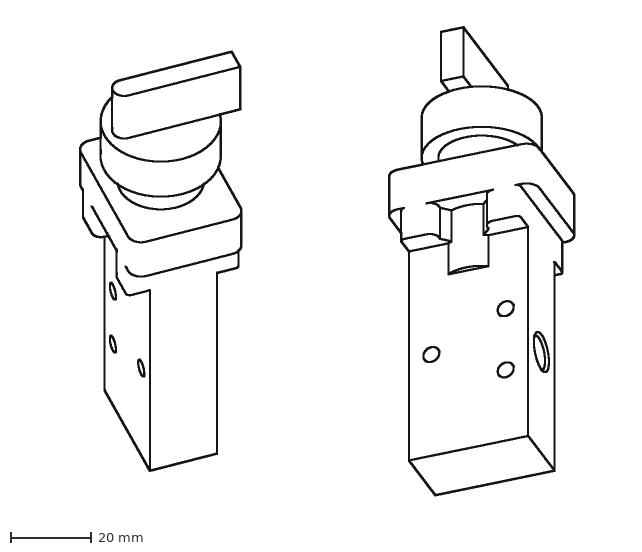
import cadquery as cq
import math

body_top = 61.0
cylinder_bottom = 52.0
clamp_top = 70.0
plate_top = 81.7
neck_top = 89.8
knob_top = 101.6
handle_top = 116.0

body_width = 32.0
body_depth = 18.0
plate_width = 40.0
plate_depth = 30.0
plate_corner_radius = 3.5
clamp_corner_radius = 1.0
cylinder_diameter = 21.0

relief_half_width = 6.5
relief_inner_half_width = 4.3
relief_edge_radius = 2.4

neck_diameter = 21.7
knob_diameter = plate_depth
handle_width = 6.0
handle_front = -12.8
handle_back = 20.1

hole_diameter = 4.3
hole_offset_x = 10.0
hole_offset_z = 8.9
port_height = 29.6
port_diameter = 8.7
port_mouth_diameter = 10.2
port_mouth_depth = (port_mouth_diameter - port_diameter) / 2
port_depth = 10.0


def block(width, depth, bottom, top):
    """Box centred on the Z axis between two heights."""
    return cq.Workplane("XY").workplane(offset=bottom).rect(width, depth).extrude(top - bottom)


def disc(diameter, bottom, top):
    """Cylinder on the Z axis between two heights."""
    return cq.Workplane("XY").workplane(offset=bottom).circle(diameter / 2).extrude(top - bottom)


def relief():
    """Cutter for the front relief: 45 degree inner flanks and rounded outer edges."""
    face_y = -plate_depth / 2
    cylinder_y = -math.sqrt((cylinder_diameter / 2) ** 2 - relief_inner_half_width ** 2)
    flank_y = cylinder_y - (relief_half_width - relief_inner_half_width)
    round_y = face_y + relief_edge_radius
    mouth_half_width = relief_half_width + relief_edge_radius
    arc_shift = relief_edge_radius * (1 - math.sqrt(0.5))
    arc_x = relief_half_width + arc_shift
    arc_y = face_y + arc_shift
    return (
        cq.Workplane("XY")
        .workplane(offset=body_top)
        .moveTo(-mouth_half_width, face_y)
        .threePointArc((-arc_x, arc_y), (-relief_half_width, round_y))
        .lineTo(-relief_half_width, flank_y)
        .lineTo(-relief_inner_half_width, cylinder_y)
        .lineTo(relief_inner_half_width, cylinder_y)
        .lineTo(relief_half_width, flank_y)
        .lineTo(relief_half_width, round_y)
        .threePointArc((arc_x, arc_y), (mouth_half_width, face_y))
        .close()
        .extrude(clamp_top - body_top)
    )


def clamp_block():
    """Block under the plate, relieved alike at front and back."""
    clamp = block(body_width, plate_depth, body_top, clamp_top).edges("|Z").fillet(clamp_corner_radius)
    front_relief = relief()
    return clamp.cut(front_relief).cut(front_relief.mirror("XZ"))


def handle():
    """Upright bar with a full round front end, overhanging the knob at the back."""
    half_width = handle_width / 2
    round_y = handle_front + half_width
    return (
        cq.Workplane("XY")
        .workplane(offset=knob_top)
        .moveTo(-half_width, handle_back)
        .lineTo(-half_width, round_y)
        .threePointArc((0, handle_front), (half_width, round_y))
        .lineTo(half_width, handle_back)
        .close()
        .extrude(handle_top - knob_top)
    )


def mounting_holes():
    """Three holes running through the body along Y."""
    centres = [
        (-hole_offset_x, port_height + hole_offset_z),
        (-hole_offset_x, port_height - hole_offset_z),
        (hole_offset_x, port_height),
    ]
    return (
        cq.Workplane("XZ")
        .pushPoints(centres)
        .circle(hole_diameter / 2)
        .extrude(body_depth, both=True)
    )


def side_port():
    """Blind port in the -X face with a 45 degree mouth."""
    mouth_radius = port_mouth_diameter / 2
    bore_radius = port_diameter / 2
    face_x = -body_width / 2
    return (
        cq.Workplane("XY")
        .moveTo(face_x, 0)
        .lineTo(face_x, mouth_radius)
        .lineTo(face_x + port_mouth_depth, bore_radius)
        .lineTo(face_x + port_depth, bore_radius)
        .lineTo(face_x + port_depth, 0)
        .close()
        .revolve(360, (0, 0, 0), (1, 0, 0))
        .translate((0, 0, port_height))
    )


body = block(body_width, body_depth, 0, body_top).cut(mounting_holes()).cut(side_port())

plate = block(plate_width, plate_depth, clamp_top, plate_top).edges("|Z").fillet(plate_corner_radius)

result = (
    body
    .union(disc(cylinder_diameter, cylinder_bottom, clamp_top))
    .union(clamp_block())
    .union(plate)
    .union(disc(neck_diameter, plate_top, neck_top))
    .union(disc(knob_diameter, neck_top, knob_top))
    .union(handle())
)